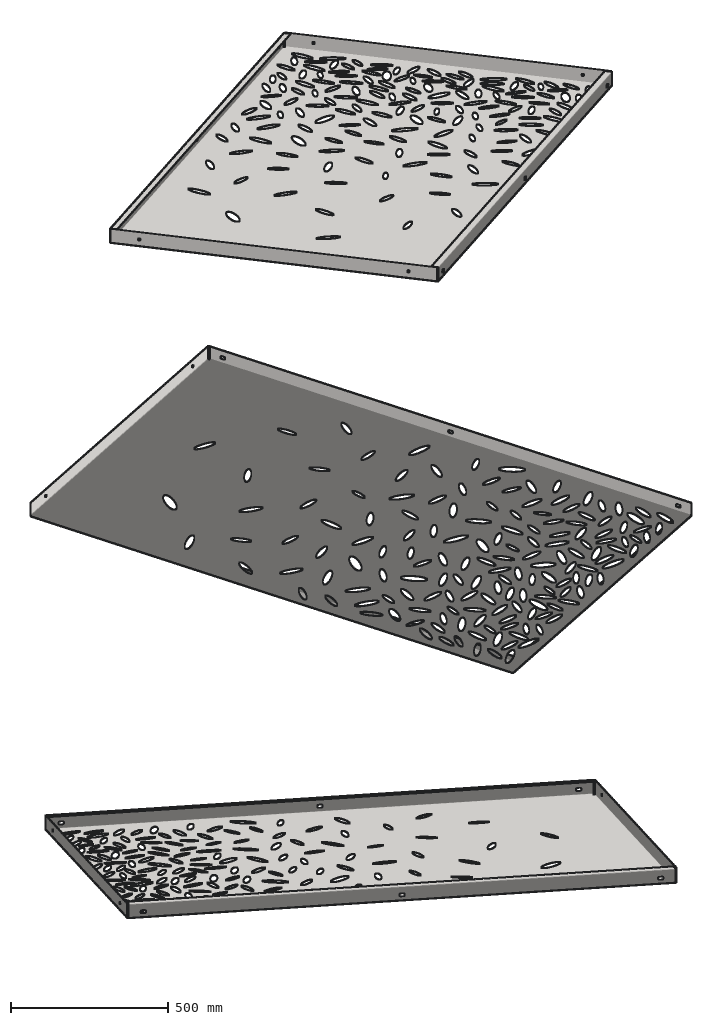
import cadquery as cq
import math

PANEL_WIDTH = 1100.0
PANEL_LENGTH = 1800.0
PANEL_HEIGHT = 50.0
SHEET = 2.0
BEND_RADIUS = 4.0
INNER_BEND_RADIUS = BEND_RADIUS - SHEET
LIP_WIDTH = 25.0
CORNER_RELIEF = 5.0

END_HOLE_DIAMETER = 8.0
END_HOLE_OFFSET = 450.0
END_HOLE_HEIGHT = 25.0
SIDE_SLOT_LENGTH = 18.0
SIDE_SLOT_HEIGHT = 10.0
SIDE_SLOT_OFFSET = 847.0
SIDE_SLOT_LEVEL = 20.0

SLIM_LEAF_RATIO = 0.28
BROAD_LEAF_RATIO = 0.34

SLIM_LEAVES = [
    (65, -660, 132, -622), (-16, -416, 53, -449), (306, -427, 305, -494), (-456, -373, -376, -398),
    (-178, -345, -120, -293), (398, -280, 442, -338), (-331, -283, -309, -220), (158, -288, 180, -225),
    (-474, -120, -436, -186), (-60, -188, 8, -172), (286, -171, 351, -163), (-270, -128, -206, -110),
    (-98, -15, -86, -94), (98, -46, 113, -100), (390, -57, 468, -30), (-425, -43, -366, 5),
    (237, -12, 309, -17),
    (-285, 9, -212, 0), (-34, 51, 33, 17), (133, 25, 194, 80), (330, 97, 376, 37),
    (-516, 106, -466, 56), (-408, 112, -328, 86), (-160, 65, -88, 98), (76, 165, 95, 97),
    (-178, 182, -114, 157), (175, 146, 243, 168), (420, 164, 482, 142), (-52, 193, 15, 188),
    (-497, 211, -461, 149), (277, 217, 330, 170),
    (-408, 190, -353, 248), (-294, 266, -236, 220), (-137, 264, -76, 235), (12, 261, 76, 227),
    (144, 253, 217, 214), (360, 235, 422, 260), (-466, 259, -404, 311), (-492, 295, -468, 364),
    (-388, 358, -365, 303), (-342, 400, -304, 335), (-169, 299, -109, 327), (-113, 383, -58, 330),
    (3, 306, 76, 352), (150, 299, 184, 373), (253, 353, 279, 300), (354, 311, 408, 347),
    (404, 402, 454, 344),
    (-390, 417, -370, 484), (-323, 433, -254, 452), (-224, 432, -152, 407), (-106, 443, -34, 419),
    (76, 456, 142, 431), (174, 495, 178, 416), (246, 445, 274, 392), (312, 411, 382, 439),
    (439, 454, 506, 431), (-482, 461, -427, 493), (-285, 512, -238, 464), (-183, 487, -142, 434),
    (-30, 518, -21, 446), (303, 459, 320, 513), (372, 484, 446, 503),
    (-510, 571, -473, 508), (-455, 586, -427, 523), (-412, 562, -360, 520), (-340, 568, -318, 516),
    (-262, 533, -190, 547), (-186, 529, -108, 507), (-75, 521, -18, 567), (13, 485, 31, 551),
    (81, 537, 95, 483), (134, 578, 168, 521), (205, 539, 228, 484), (262, 520, 314, 563),
    (355, 538, 420, 557), (424, 577, 501, 551), (-302, 566, -274, 630), (-228, 636, -195, 568),
    (-168, 615, -108, 571), (-99, 617, -73, 558), (48, 574, 115, 597),
    (-505, 650, -485, 586), (-496, 676, -455, 627), (-420, 626, -348, 590), (-372, 650, -298, 642),
    (-285, 663, -212, 671), (-185, 658, -114, 632), (-69, 677, -11, 645), (-63, 628, -4, 583),
    (153, 593, 211, 645), (207, 577, 260, 619), (237, 657, 310, 646), (308, 577, 328, 640),
    (364, 648, 378, 581), (423, 646, 473, 602), (93, 702, 148, 644), (343, 677, 409, 682),
    (430, 701, 493, 658), (-424, 722, -410, 650), (-374, 726, -352, 674), (-225, 731, -183, 677),
    (-168, 706, -104, 665), (154, 734, 177, 666), (212, 727, 240, 674),
    (-520, 744, -453, 712), (-438, 766, -361, 737), (-345, 730, -285, 757), (-315, 707, -249, 728),
    (-247, 776, -180, 756), (-120, 719, -93, 783), (-78, 767, -56, 717), (-80, 793, -17, 788),
    (-38, 750, 27, 764), (12, 793, 70, 758), (47, 735, 118, 724), (110, 814, 106, 742),
    (145, 785, 217, 806), (158, 768, 236, 744), (250, 723, 303, 765), (276, 705, 344, 724),
    (343, 763, 407, 737), (471, 790, 497, 722), (-491, 820, -466, 756), (-445, 794, -378, 811),
    (-353, 836, -345, 762), (-327, 816, -276, 779), (-235, 792, -175, 817), (-147, 839, -138, 777),
    (-102, 796, -86, 864), (250, 834, 258, 762), (281, 818, 326, 778), (326, 844, 346, 792),
    (367, 792, 426, 820), (479, 869, 504, 797), (-506, 850, -429, 826), (-408, 834, -330, 861),
    (-304, 856, -261, 815), (-237, 834, -169, 850), (-52, 853, 3, 809), (17, 832, 82, 803),
    (48, 864, 105, 825), (134, 818, 212, 848), (238, 863, 308, 836), (335, 863, 392, 823),
    (397, 864, 458, 834),
]
BROAD_LEAVES = [
    (-275, -525, -218, -597), (-280, 165, -222, 98), (466, 230, 505, 304), (-247, 298, -214, 376),
    (-470, 426, -424, 367), (24, 454, 74, 391), (27, 615, 76, 678), (-18, 733, 14, 667),
    (424, 792, 455, 717), (-171, 795, -147, 718),
]


def make_channel():
    """Floor, two long walls and their inward lips: one C-shaped profile run along Y."""
    length = PANEL_LENGTH - 2 * CORNER_RELIEF
    outer = (
        cq.Workplane("XY")
        .box(PANEL_WIDTH, length, PANEL_HEIGHT, centered=(True, True, False))
        .edges("|Y")
        .fillet(BEND_RADIUS)
    )
    cavity = (
        cq.Workplane("XY")
        .workplane(offset=SHEET)
        .box(PANEL_WIDTH - 2 * SHEET, length, PANEL_HEIGHT - 2 * SHEET, centered=(True, True, False))
        .edges("|Y")
        .fillet(INNER_BEND_RADIUS)
    )
    mouth = (
        cq.Workplane("XY")
        .workplane(offset=PANEL_HEIGHT / 2)
        .box(PANEL_WIDTH - 2 * LIP_WIDTH, length, PANEL_HEIGHT, centered=(True, True, False))
    )
    return outer.cut(cavity).cut(mouth)


def make_end_wall(side):
    """Plain upright wall folded up from a strip of floor at the +Y (side = 1) or -Y (side = -1) end."""
    width = PANEL_WIDTH - 2 * CORNER_RELIEF
    outer_y = side * PANEL_LENGTH / 2
    inner_y = outer_y - side * SHEET
    bend_y = outer_y - side * BEND_RADIUS
    floor_y = outer_y - side * CORNER_RELIEF
    middle = math.sqrt(0.5)
    profile = (
        cq.Workplane("YZ")
        .moveTo(floor_y, 0)
        .lineTo(bend_y, 0)
        .threePointArc(
            (bend_y + side * BEND_RADIUS * middle, BEND_RADIUS * (1 - middle)),
            (outer_y, BEND_RADIUS),
        )
        .lineTo(outer_y, PANEL_HEIGHT)
        .lineTo(inner_y, PANEL_HEIGHT)
        .lineTo(inner_y, BEND_RADIUS)
        .threePointArc(
            (bend_y + side * INNER_BEND_RADIUS * middle, BEND_RADIUS - INNER_BEND_RADIUS * middle),
            (bend_y, SHEET),
        )
        .lineTo(floor_y, SHEET)
        .close()
    )
    return profile.extrude(width / 2, both=True)


def make_tray():
    return make_channel().union(make_end_wall(-1)).union(make_end_wall(1))


def make_leaf(tips, ratio):
    """Cutter with a slender elliptical outline whose long axis runs from tip to tip."""
    x1, y1, x2, y2 = tips
    half_length = math.hypot(x2 - x1, y2 - y1) / 2
    angle = math.degrees(math.atan2(y2 - y1, x2 - x1))
    return (
        cq.Workplane("XY")
        .workplane(offset=-SHEET)
        .center((x1 + x2) / 2, (y1 + y2) / 2)
        .transformed(rotate=(0, 0, angle))
        .ellipse(half_length, ratio * half_length)
        .extrude(3 * SHEET)
        .val()
    )


def cut_leaves(tray):
    leaves = [make_leaf(tips, SLIM_LEAF_RATIO) for tips in SLIM_LEAVES]
    leaves += [make_leaf(tips, BROAD_LEAF_RATIO) for tips in BROAD_LEAVES]
    return cq.Workplane(tray.val().cut(*leaves))


def cut_fixing_holes(tray):
    """Round holes through both end walls and slots through both long walls."""
    end_holes = (
        cq.Workplane("XZ")
        .pushPoints([(-END_HOLE_OFFSET, END_HOLE_HEIGHT), (END_HOLE_OFFSET, END_HOLE_HEIGHT)])
        .circle(END_HOLE_DIAMETER / 2)
        .extrude(PANEL_LENGTH, both=True)
    )
    side_slots = (
        cq.Workplane("YZ")
        .pushPoints([(y, SIDE_SLOT_LEVEL) for y in (-SIDE_SLOT_OFFSET, 0, SIDE_SLOT_OFFSET)])
        .slot2D(SIDE_SLOT_LENGTH, SIDE_SLOT_HEIGHT)
        .extrude(PANEL_WIDTH, both=True)
    )
    return tray.cut(end_holes).cut(side_slots)


result = cut_fixing_holes(cut_leaves(make_tray()))